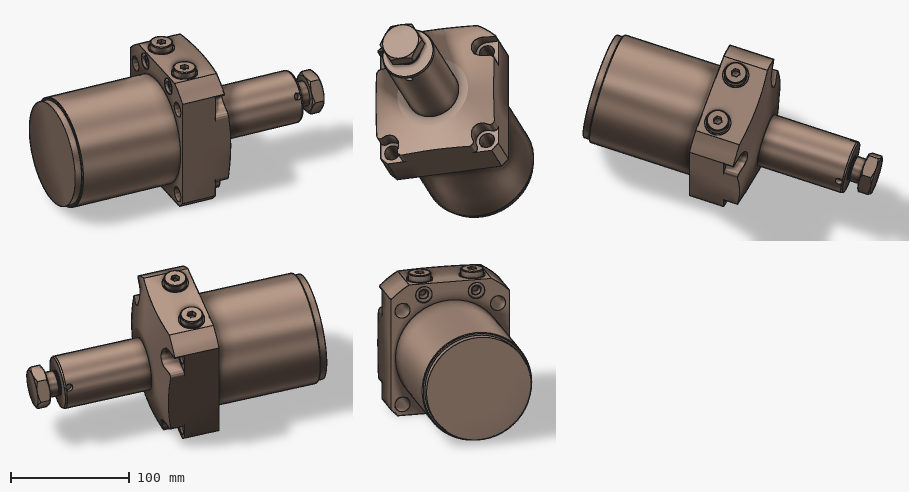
import cadquery as cq
import math


half_width = 51.5
top_z = 63.8
bottom_z = -51.3
flange_depth = 50.3
top_corner_radius = 73.2
bottom_chamfer = 6.0
cone_start_radius = 31.0
cone_angle = 15.0
cone_outer_radius = 86.0

hole_offset = 41.5
hole_radius = 6.5
pocket_radius = 9.5
pocket_floor_y = 30.5
mouth_radius = 4.0
clearance = 12.3

barrel_radius = 47.6
barrel_length = 91.0
barrel_chamfer = 0.7
end_cap_radius = 45.5
end_cap_length = 6.0

port_x = 22.8
port_z = 54.0
port_bore_radius = 4.05
ring_major_radius = 5.6
ring_minor_radius = 1.6
ring_protrusion = 0.5
ring_seat_radius = 7.0
ring_seat_depth = 2.2

plug_y = 15.2
plug_head_radius = 9.5
plug_head_height = 5.5
plug_chamfer = 0.7
plug_shank_radius = 6.6
plug_shank_length = 12.8
plug_seat_radius = 11.0
plug_seat_depth = 0.7
plug_socket_width = 6.6
plug_socket_depth = 4.5
plug_socket_tip = 1.7

rod_radius = 22.5
rod_length = 75.9
rod_chamfer_radial = 0.7
rod_chamfer_axial = 1.5
wrench_hole_radius = 3.0
wrench_hole_depth = 6.1
wrench_hole_setback = 4.2
wrench_hole_count = 3
wrench_hole_first_angle = 30.0

bolt_shank_radius = 10.8
bolt_collar_length = 0.7
bolt_neck_radius = 10.0
bolt_neck_length = 1.0
bolt_bevel = bolt_shank_radius - bolt_neck_radius
bolt_shank_length = 11.3
bolt_head_height = 11.0
bolt_head_width = 32.0
bolt_face_radius = 15.7
bolt_bevel_angle = 30.0

rod_end_y = flange_depth + rod_length


def y_cylinder(radius, y_start, length, x=0.0, z=0.0):
    """Cylinder running toward +Y from y_start."""
    return cq.Workplane(cq.Solid.makeCylinder(radius, length, cq.Vector(x, y_start, z), cq.Vector(0, 1, 0)))


def z_cylinder(radius, z_start, length, x, y):
    """Cylinder running toward +Z from z_start."""
    return cq.Workplane(cq.Solid.makeCylinder(radius, length, cq.Vector(x, y, z_start)))


def revolve_about_y(points):
    """Solid of revolution about the Y axis from (radius, y) points."""
    return cq.Workplane("XY").polyline(points).close().revolve(360, (0, 0, 0), (0, 1, 0))


def flange_blank():
    """Flange plate with turned upper corners, chamfered lower corners and a conical back."""
    shoulder_x = math.sqrt(top_corner_radius**2 - top_z**2)
    shoulder_z = math.sqrt(top_corner_radius**2 - half_width**2)
    mid_angle = (math.atan2(top_z, shoulder_x) + math.atan2(shoulder_z, half_width)) / 2
    mid_x = top_corner_radius * math.cos(mid_angle)
    mid_z = top_corner_radius * math.sin(mid_angle)
    plate = (
        cq.Workplane("XZ")
        .moveTo(-shoulder_x, top_z)
        .lineTo(shoulder_x, top_z)
        .threePointArc((mid_x, mid_z), (half_width, shoulder_z))
        .lineTo(half_width, bottom_z + bottom_chamfer)
        .lineTo(half_width - bottom_chamfer, bottom_z)
        .lineTo(-half_width + bottom_chamfer, bottom_z)
        .lineTo(-half_width, bottom_z + bottom_chamfer)
        .lineTo(-half_width, shoulder_z)
        .threePointArc((-mid_x, mid_z), (-shoulder_x, top_z))
        .close()
        .extrude(-flange_depth)
    )
    cone_drop = (cone_outer_radius - cone_start_radius) * math.tan(math.radians(cone_angle))
    turned_envelope = revolve_about_y([
        (0, 0),
        (cone_outer_radius, 0),
        (cone_outer_radius, flange_depth - cone_drop),
        (cone_start_radius, flange_depth),
        (0, flange_depth),
    ])
    return plate.intersect(turned_envelope)


def pocket_prism(outline):
    """Extrude a closed XZ outline from the pocket floor out through the back of the flange."""
    depth = flange_depth - pocket_floor_y + clearance
    return outline.close().extrude(-depth).translate((0, pocket_floor_y, 0))


def upper_pocket():
    """Pocket at the upper -X hole: a slot open to the side, its lower lip rounded."""
    outer_x = -half_width - clearance
    upper_z = hole_offset + pocket_radius
    lower_z = hole_offset - pocket_radius
    lip_z = lower_z - mouth_radius
    lip_mid_x = -half_width + mouth_radius * (1 - math.sqrt(0.5))
    lip_mid_z = lip_z + mouth_radius * math.sqrt(0.5)
    outline = (
        cq.Workplane("XZ")
        .moveTo(outer_x, upper_z)
        .lineTo(-hole_offset, upper_z)
        .threePointArc((-hole_offset + pocket_radius, hole_offset), (-hole_offset, lower_z))
        .lineTo(-half_width + mouth_radius, lower_z)
        .threePointArc((lip_mid_x, lip_mid_z), (-half_width, lip_z))
        .lineTo(outer_x, lip_z)
    )
    return pocket_prism(outline)


def lower_pocket():
    """Pocket at the lower -X hole: a round wall blended by convex arcs into the side and bottom faces."""
    center = cq.Vector(-hole_offset, -hole_offset)
    reach = pocket_radius + mouth_radius
    side_x = -half_width + mouth_radius
    base_z = bottom_z + mouth_radius
    side_center = cq.Vector(side_x, -hole_offset + math.sqrt(reach**2 - (side_x + hole_offset) ** 2))
    base_center = cq.Vector(-hole_offset + math.sqrt(reach**2 - (base_z + hole_offset) ** 2), base_z)

    side_tangent = center + (side_center - center).normalized() * pocket_radius
    base_tangent = center + (base_center - center).normalized() * pocket_radius
    inner_point = center + cq.Vector(1, 1).normalized() * pocket_radius

    side_end = side_center + cq.Vector(-mouth_radius, 0)
    base_end = base_center + cq.Vector(0, -mouth_radius)
    side_mid_direction = (side_end - side_center) + (side_tangent - side_center)
    base_mid_direction = (base_end - base_center) + (base_tangent - base_center)
    side_mid = side_center + side_mid_direction.normalized() * mouth_radius
    base_mid = base_center + base_mid_direction.normalized() * mouth_radius

    outer_x = -half_width - clearance
    outer_z = bottom_z - clearance
    outline = (
        cq.Workplane("XZ")
        .moveTo(outer_x, side_end.y)
        .lineTo(side_end.x, side_end.y)
        .threePointArc((side_mid.x, side_mid.y), (side_tangent.x, side_tangent.y))
        .threePointArc((inner_point.x, inner_point.y), (base_tangent.x, base_tangent.y))
        .threePointArc((base_mid.x, base_mid.y), (base_end.x, base_end.y))
        .lineTo(base_end.x, outer_z)
        .lineTo(outer_x, outer_z)
    )
    return pocket_prism(outline)


def cut_mounting(body):
    """Four through holes, each with its corner pocket at the back."""
    for x in (-hole_offset, hole_offset):
        for z in (-hole_offset, hole_offset):
            body = body.cut(y_cylinder(hole_radius, 0, flange_depth, x, z))
    for pocket in (upper_pocket(), lower_pocket()):
        body = body.cut(pocket).cut(pocket.mirror("YZ"))
    return body


def barrel():
    """Round barrel with a stepped end cap."""
    return revolve_about_y([
        (0, 0),
        (barrel_radius, 0),
        (barrel_radius, -barrel_length + barrel_chamfer),
        (barrel_radius - barrel_chamfer, -barrel_length),
        (end_cap_radius, -barrel_length),
        (end_cap_radius, -barrel_length - end_cap_length),
        (0, -barrel_length - end_cap_length),
    ])


def plug(x):
    """Screw plug with a chamfered round head and a hexagon socket."""
    seat_z = top_z - plug_seat_depth
    head = z_cylinder(plug_head_radius, seat_z, plug_head_height + plug_seat_depth, x, plug_y)
    head = head.faces(">Z").edges().chamfer(plug_chamfer)
    shank = z_cylinder(plug_shank_radius, top_z - plug_shank_length, plug_shank_length, x, plug_y)
    socket_bottom = top_z + plug_head_height - plug_socket_depth
    socket = (
        cq.Workplane("XY", origin=(x, plug_y, socket_bottom))
        .transformed(rotate=(0, 0, 90))
        .polygon(6, 2 * plug_socket_width / math.sqrt(3))
        .extrude(plug_socket_depth)
    )
    tip = cq.Workplane(cq.Solid.makeCone(
        plug_socket_width / 2, 0, plug_socket_tip,
        cq.Vector(x, plug_y, socket_bottom), cq.Vector(0, 0, -1),
    ))
    return head.union(shank).cut(socket).cut(tip)


def add_port(body, x):
    """Plugged port in a shallow spotface on top and the matching O-ring port in the front face."""
    plug_seat = z_cylinder(plug_seat_radius, top_z - plug_seat_depth, plug_seat_depth, x, plug_y)
    bore = y_cylinder(port_bore_radius, 0, plug_y, x, port_z)
    ring_seat = y_cylinder(ring_seat_radius, 0, ring_seat_depth, x, port_z)
    ring_y = ring_minor_radius - ring_protrusion
    ring = cq.Workplane(cq.Solid.makeTorus(
        ring_major_radius, ring_minor_radius, cq.Vector(x, ring_y, port_z), cq.Vector(0, 1, 0),
    ))
    body = body.cut(plug_seat).cut(bore).cut(ring_seat)
    return body.union(plug(x)).union(ring)


def make_housing():
    body = cut_mounting(flange_blank()).union(barrel())
    for x in (-port_x, port_x):
        body = add_port(body, x)
    return body


def make_rod():
    """Chamfered rod with radial wrench holes near its end."""
    body = revolve_about_y([
        (0, flange_depth),
        (rod_radius, flange_depth),
        (rod_radius, rod_end_y - rod_chamfer_axial),
        (rod_radius - rod_chamfer_radial, rod_end_y),
        (0, rod_end_y),
    ])
    for index in range(wrench_hole_count):
        angle = math.radians(wrench_hole_first_angle + index * 360 / wrench_hole_count)
        outward = cq.Vector(math.cos(angle), 0, math.sin(angle))
        start = outward * (rod_radius - wrench_hole_depth)
        start += cq.Vector(0, rod_end_y - wrench_hole_setback, 0)
        hole = cq.Solid.makeCylinder(wrench_hole_radius, wrench_hole_depth + clearance, start, outward)
        body = body.cut(cq.Workplane(hole))
    return body


def make_bolt():
    """Hexagon bolt with a necked shank, standing on the rod end."""
    head_y = rod_end_y + bolt_shank_length
    tip_y = head_y + bolt_head_height
    neck_y = rod_end_y + bolt_collar_length
    shank_y = neck_y + bolt_neck_length
    shank = revolve_about_y([
        (0, rod_end_y),
        (bolt_shank_radius, rod_end_y),
        (bolt_neck_radius, neck_y),
        (bolt_neck_radius, shank_y),
        (bolt_shank_radius, shank_y + bolt_bevel),
        (bolt_shank_radius, head_y),
        (0, head_y),
    ])
    corner_radius = bolt_head_width / math.sqrt(3)
    hexagon = (
        cq.Workplane("XZ", origin=(0, head_y, 0))
        .polygon(6, 2 * corner_radius)
        .extrude(-bolt_head_height)
    )
    bevel_height = (corner_radius - bolt_face_radius) * math.tan(math.radians(bolt_bevel_angle))
    bevel_envelope = revolve_about_y([
        (0, head_y),
        (bolt_face_radius, head_y),
        (corner_radius, head_y + bevel_height),
        (corner_radius, tip_y - bevel_height),
        (bolt_face_radius, tip_y),
        (0, tip_y),
    ])
    return hexagon.intersect(bevel_envelope).union(shank)


housing = make_housing()
rod = make_rod()
bolt = make_bolt()

result = cq.Compound.makeCompound([housing.val(), rod.val(), bolt.val()])